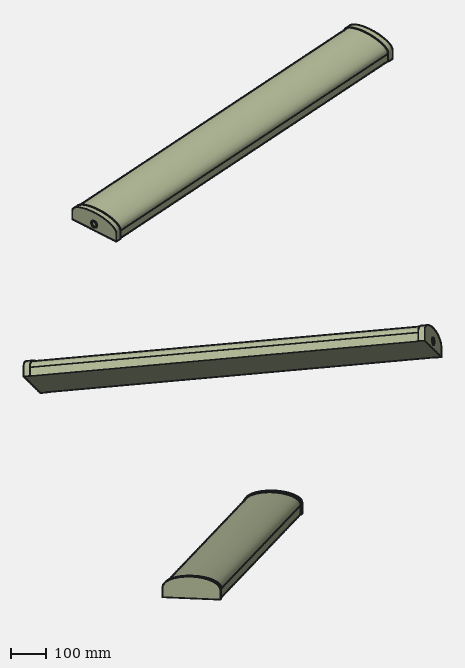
import cadquery as cq

length = 1178.0
width = 165.0
height = 62.0
spring_height = 30.0

cap_thickness = 19.0
cap_overhang = 2.0
seam_height = 26.0

collar_diameter = 22.0
entry_diameter = 16.0
collar_projection = 1.0
entry_height = 22.0

back_face = length / 2
collar_face = -length / 2
front_face = collar_face + collar_projection
inner_front = front_face + cap_thickness
inner_back = back_face - cap_thickness
inner_length = inner_back - inner_front

middle_width = width - 2 * cap_overhang
middle_height = height - cap_overhang


def section_plane(y):
    """XZ plane at the given Y, with extrusion running toward +Y."""
    return cq.Workplane(cq.Plane(origin=(0, y, 0), xDir=(-1, 0, 0), normal=(0, 1, 0)))


def crowned_bar(y_start, bar_length, bar_width, bottom, top):
    """Bar with vertical sides and a half-elliptical crown."""
    half_width = bar_width / 2
    return (
        section_plane(y_start)
        .moveTo(-half_width, spring_height)
        .lineTo(-half_width, bottom)
        .lineTo(half_width, bottom)
        .lineTo(half_width, spring_height)
        .ellipseArc(half_width, top - spring_height, 0, 180, startAtCurrent=True)
        .close()
        .extrude(bar_length)
    )


def make_housing():
    """Flat tray joined to a crowned cap at each end, with the cable entry."""
    tray = (
        section_plane(inner_front)
        .center(0, seam_height / 2)
        .rect(middle_width, seam_height)
        .extrude(inner_length)
    )
    housing = tray
    for cap_start in (front_face, inner_back):
        housing = housing.union(crowned_bar(cap_start, cap_thickness, width, 0, height))
    collar = (
        section_plane(collar_face)
        .center(0, entry_height)
        .circle(collar_diameter / 2)
        .extrude(collar_projection)
    )
    entry = (
        section_plane(collar_face)
        .center(0, entry_height)
        .circle(entry_diameter / 2)
        .extrude(collar_projection)
    )
    return housing.union(collar).cut(entry)


def make_cover():
    """Crowned cover filling the space between the caps above the tray."""
    return crowned_bar(inner_front, inner_length, middle_width, seam_height, middle_height)


housing = make_housing()
cover = make_cover()

result = cq.Compound.makeCompound([housing.val(), cover.val()])